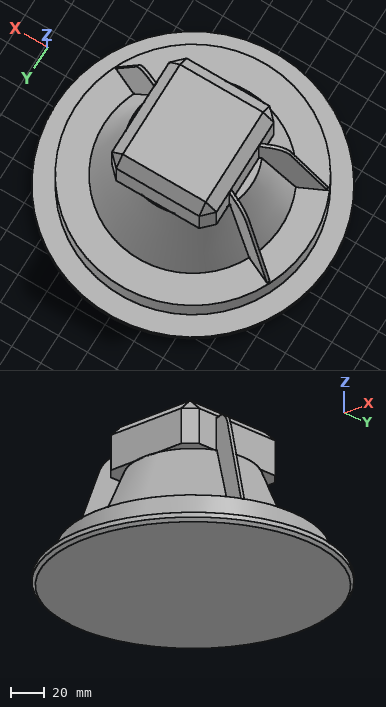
import cadquery as cq

flange_radius = 95.0
flange_height = 5.1
flange_bevel = 2.0
drum_radius = 81.1
drum_top = 22.5
cone_bottom_radius = 61.2
cone_top_radius = 41.0
cone_top = 70.0

head_x = 72.0
head_y = 80.0
total_height = 100.0
head_bevel = 7.5

rib_angle = 25.0
rib_directions = [180.0 - rib_angle, 180.0 + rib_angle, -rib_angle]
rib_thickness = 2.0
rib_foot_radius = 80.0
rib_corner_radius = 55.0
rib_corner_height = 89.1
rib_inner_height = 91.5
rib_inner_radius = head_x / 2
rib_round = 15.2


def make_base():
    flange = (
        cq.Workplane("XY")
        .circle(flange_radius)
        .extrude(flange_height)
        .faces("<Z")
        .edges()
        .chamfer(flange_bevel)
    )
    drum_and_cone = (
        cq.Workplane("XZ")
        .polyline([
            (0, 0),
            (drum_radius, 0),
            (drum_radius, drum_top),
            (cone_bottom_radius, drum_top),
            (cone_top_radius, cone_top),
            (0, cone_top),
        ])
        .close()
        .revolve(360, (0, 0, 0), (0, 1, 0))
    )
    return flange.union(drum_and_cone).solids()


def make_head():
    return (
        cq.Workplane("XY", origin=(0, 0, cone_top))
        .rect(head_x, head_y)
        .extrude(total_height - cone_top)
        .edges("|Z or >Z")
        .chamfer(head_bevel)
        .solids()
    )


def make_rib(direction, base, head):
    """Rib plate pointing along `direction` degrees, trimmed to the base and head surfaces."""
    plate = (
        cq.Workplane("XZ")
        .polyline([
            (rib_inner_radius, drum_top),
            (rib_foot_radius, drum_top),
            (rib_corner_radius, rib_corner_height),
            (rib_inner_radius, rib_inner_height),
        ])
        .close()
        .extrude(rib_thickness / 2, both=True)
    )
    corner = cq.selectors.NearestToPointSelector((rib_corner_radius, 0, rib_corner_height))
    rounded = plate.edges(corner).fillet(rib_round)
    placed = rounded.rotate((0, 0, 0), (0, 0, 1), direction)
    return placed.cut(base).cut(head).solids()


base = make_base()
head = make_head()
ribs = [make_rib(direction, base, head) for direction in rib_directions]

result = cq.Compound.makeCompound([
    base.val(),
    head.val(),
    *[rib.val() for rib in ribs],
])